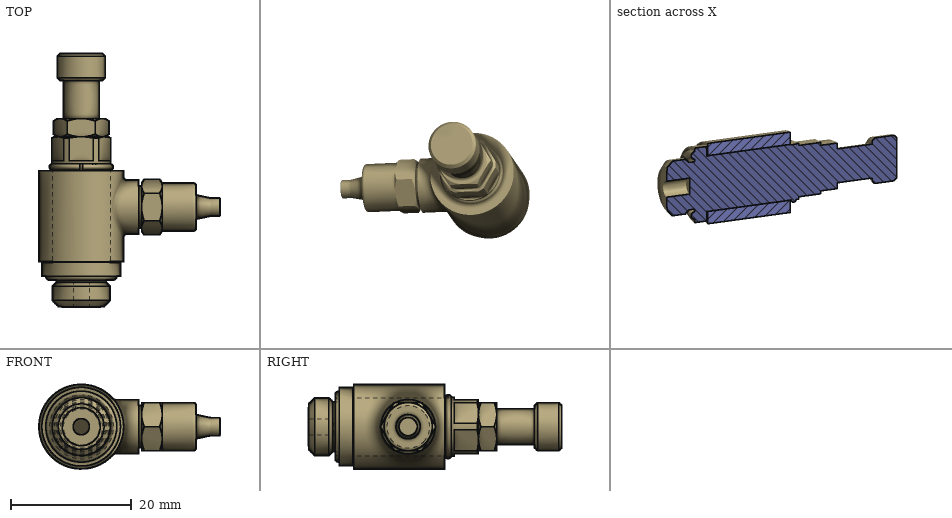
import cadquery as cq
import math


sleeve_radius = 7.0
sleeve_front = -9.05
sleeve_back = 6.05
bore_radius = 4.8

port_radius = 4.5
port_end = 9.5
port_fillet = 0.5
port_neck_radius = 3.53
port_nut_start = 10.0
port_nut_end = 13.4
port_cap_radius = 4.0
port_cap_end = 19.03
port_cap_fillet = 0.5
nozzle_base_radius = 2.0
nozzle_tip_radius = 1.5
nozzle_cone_end = 21.38
nozzle_end = 22.97
nozzle_fillet = 0.2

hexagon_sides = 6
nut_across_flats = 8.0
nut_chamfer_height = 0.4

tip_face = -16.45
tip_disc_height = 0.1
tip_disc_radius = 3.15
tip_hole_radius = 1.35
tip_hole_depth = 4.2
thread_radius = 4.8
thread_chamfer = 1.0
thread_back = -13.1
relief_radius = 4.15
thread_run_out = thread_radius - relief_radius

shank_radius = bore_radius
flange_radius = 6.5
flange_clearance = 0.13
flange_front = -11.42
flange_back = sleeve_front - flange_clearance
seal_ring_radius = 5.2
seal_ring_section = 0.67

snap_ring_section = 0.5
snap_ring_slit = 0.5
collar_front = 7.15
snap_ring_middle = collar_front - snap_ring_section

collar_radius = 4.9
large_hex_across_flats = 9.0
large_hex_front = 7.65
large_hex_chamfer_height = 0.2
lock_nut_front = 11.65
lock_nut_back = 14.65
stem_radius = 3.0
knob_radius = 4.0
knob_front = 20.9
knob_back = 25.45
knob_chamfer = 0.5


def cylinder_y(radius, front, back):
    """Cylinder on the bolt axis from front to back along Y."""
    return cq.Workplane("XZ", origin=(0, front, 0)).circle(radius).extrude(front - back)


def cylinder_x(radius, start, end):
    """Cylinder on the port axis from start to end along X."""
    return cq.Workplane("YZ", origin=(start, 0, 0)).circle(radius).extrude(end - start)


def revolve_y(points):
    """Solid of revolution about Y from (radius, y) points that start and end on the axis."""
    return cq.Workplane("XY").polyline(points).close().revolve(360, (0, 0), (0, 1))


def torus_y(ring_radius, section_radius, middle):
    """Ring of round section about the Y axis."""
    section = cq.Workplane("XY").center(ring_radius, middle).circle(section_radius)
    return section.revolve(360, (-ring_radius, 0), (-ring_radius, 1))


def hexagon_y(across_flats, front, back):
    """Hexagon prism along Y with flats facing +Z and -Z."""
    corner_diameter = across_flats / math.cos(math.pi / hexagon_sides)
    base = cq.Workplane("XZ", origin=(0, front, 0)).polygon(hexagon_sides, corner_diameter)
    return base.extrude(front - back)


def small_nut_y(front, back):
    """Hexagon nut with full corners, both ends chamfered down to a circle that touches the flats."""
    face_radius = nut_across_flats / 2
    corner_radius = face_radius / math.cos(math.pi / hexagon_sides)
    envelope = revolve_y([
        (0, front),
        (face_radius, front),
        (corner_radius, front + nut_chamfer_height),
        (corner_radius, back - nut_chamfer_height),
        (face_radius, back),
        (0, back),
    ])
    return hexagon_y(nut_across_flats, front, back).intersect(envelope)


def large_hex_y(front, back):
    """Collar with six flats cut on it and its back end chamfered."""
    envelope = revolve_y([
        (0, front),
        (collar_radius, front),
        (collar_radius, back - large_hex_chamfer_height),
        (large_hex_across_flats / 2, back),
        (0, back),
    ])
    return hexagon_y(large_hex_across_flats, front, back).intersect(envelope)


def make_port_fitting():
    """Neck, nut, rounded cap and stepped nozzle that follow the side port."""
    neck = cylinder_x(port_neck_radius, port_end, port_nut_start)
    nut = small_nut_y(port_nut_start, port_nut_end).rotate((0, 0, 0), (0, 0, 1), -90)
    cap = cylinder_x(port_cap_radius, port_nut_end, port_cap_end).faces(">X").edges().fillet(port_cap_fillet)
    nozzle = (
        cq.Workplane("XY")
        .polyline([
            (port_cap_end, 0),
            (port_cap_end, nozzle_base_radius),
            (nozzle_cone_end, nozzle_tip_radius),
            (nozzle_end, nozzle_tip_radius),
            (nozzle_end, 0),
        ])
        .close()
        .revolve(360, (0, 0), (1, 0))
        .faces(">X")
        .edges()
        .fillet(nozzle_fillet)
    )
    return neck.union(nut).union(cap).union(nozzle)


def make_housing():
    """Sleeve and side port blended together, with the port fitting and the bolt bore."""
    sleeve = cylinder_y(sleeve_radius, sleeve_front, sleeve_back)
    body = sleeve.union(cylinder_x(port_radius, 0, port_end))
    junction_box = cq.selectors.BoxSelector(
        (0, -sleeve_radius, -sleeve_radius),
        (port_end, sleeve_back, sleeve_radius),
    )
    junction = cq.selectors.SubtractSelector(junction_box, cq.selectors.TypeSelector("CIRCLE"))
    junction = cq.selectors.SubtractSelector(junction, cq.selectors.TypeSelector("LINE"))
    body = body.edges(junction).fillet(port_fillet)
    body = body.union(make_port_fitting())
    return body.cut(cylinder_y(bore_radius, sleeve_front, sleeve_back))


def make_threaded_end():
    """Thread, relief, flange and seal ring, with the blind hole in the end face."""
    thread = revolve_y([
        (0, tip_face),
        (thread_radius - thread_chamfer, tip_face),
        (thread_radius, tip_face + thread_chamfer),
        (thread_radius, thread_back),
        (relief_radius, thread_back + thread_run_out),
        (relief_radius, flange_front),
        (flange_radius, flange_front),
        (flange_radius, flange_back),
        (0, flange_back),
    ])
    disc_face = tip_face - tip_disc_height
    disc = cylinder_y(tip_disc_radius, disc_face, tip_face)
    seal = torus_y(seal_ring_radius, seal_ring_section, flange_front)
    hole = cylinder_y(tip_hole_radius, disc_face, disc_face + tip_hole_depth)
    return thread.union(disc).union(seal).cut(hole)


def make_snap_ring():
    """Round-section ring with a slit at its top."""
    ring = torus_y(shank_radius, snap_ring_section, snap_ring_middle)
    slit = cq.Workplane("XY", origin=(0, snap_ring_middle, 0)).box(
        snap_ring_slit, 2 * snap_ring_section, 2 * shank_radius, centered=(True, True, False)
    )
    return ring.cut(slit)


def make_control_end():
    """Collar, large hexagon, lock nut, stem and chamfered knob."""
    collar = cylinder_y(collar_radius, collar_front, large_hex_front)
    large_hex = large_hex_y(large_hex_front, lock_nut_front)
    lock_nut = small_nut_y(lock_nut_front, lock_nut_back)
    stem = cylinder_y(stem_radius, lock_nut_back, knob_front)
    knob = cylinder_y(knob_radius, knob_front, knob_back).faces("<Y or >Y").chamfer(knob_chamfer)
    return collar.union(large_hex).union(lock_nut).union(stem).union(knob)


def make_bolt():
    """Bolt whose plain shank runs through the housing bore."""
    shank = cylinder_y(shank_radius, flange_back, collar_front)
    return shank.union(make_snap_ring()).union(make_threaded_end()).union(make_control_end())


housing = make_housing()
bolt = make_bolt()
result = cq.Compound.makeCompound([housing.solids().val(), bolt.solids().val()])